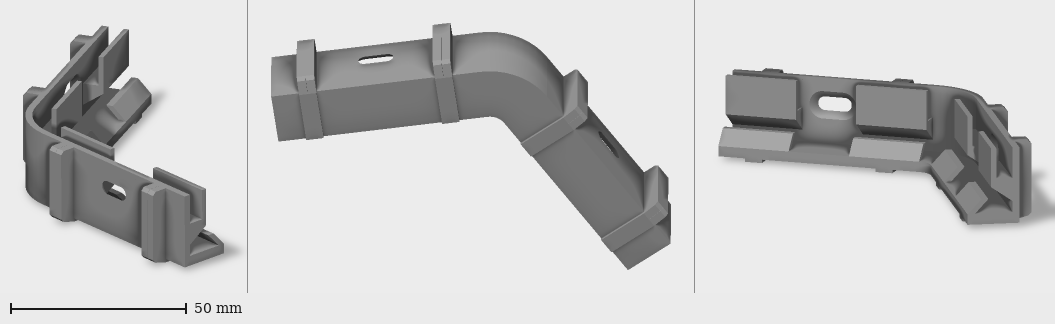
import cadquery as cq
import math


corner_angle = 118.0
turn_angle = 180.0 - corner_angle
clip_length = 21.0
plain_length = 18.0

width = 15.0
height = 22.0
wall = 2.0
floor = 3.0

inner_radius = 5.0
outer_radius = inner_radius + width

lip_run = 4.0
lip_top = 7.3
lip_thickness = 2.0

bracket_face = 8.2
blade_thickness = 1.5
bracket_root = 6.4
bracket_corner = 10.7
slot_floor = 13.0

peg_width = 5.0
peg_reach = 4.9
peg_chamfer = 1.0
rib_drop = 1.0
slit = 0.06

hole_length = 10.0
hole_height = 4.0
hole_level = 14.1
hole_flare = 45.0

lean_angle = 0.13
twist_angle = 0.2


def extrude_along_x(points, start, length):
    """Sweep an outline given as (Y, Z) points along X."""
    return cq.Workplane("YZ", origin=(start, 0, 0)).polyline(points).close().extrude(length)


def clip_outline():
    blade_back = bracket_face - blade_thickness
    return [
        (0, 0),
        (width, 0),
        (width, floor),
        (width - lip_run, lip_top),
        (width - lip_run - lip_thickness, lip_top),
        (width - lip_thickness, floor),
        (wall, floor),
        (wall, bracket_root),
        (bracket_face, bracket_corner),
        (bracket_face, height),
        (blade_back, height),
        (blade_back, slot_floor),
        (wall, slot_floor),
        (wall, height),
        (0, height),
    ]


def plain_outline():
    return [
        (0, 0),
        (width, 0),
        (width, floor),
        (wall, floor),
        (wall, height),
        (0, height),
    ]


def peg(middle):
    """Chamfered peg and underfloor rib, with the peg slit down its middle."""
    outline = [
        (0, height),
        (peg_chamfer - peg_reach, height),
        (-peg_reach, height - peg_chamfer),
        (-peg_reach, peg_chamfer),
        (peg_chamfer - peg_reach, 0),
        (0, -rib_drop),
        (width, -rib_drop),
        (width, 0),
        (0, 0),
    ]
    block = extrude_along_x(outline, middle - peg_width / 2, peg_width)
    cut = cq.Workplane("XY").box(slit, peg_reach, height + rib_drop, centered=(True, False, False))
    return block.cut(cut.translate((middle, -peg_reach, -rib_drop)))


def clip_segment(start):
    """Section with the leaning lip and the bracket, plus a peg at mid-length."""
    body = extrude_along_x(clip_outline(), start, clip_length)
    return body.union(peg(start + clip_length / 2))


def plain_segment(start):
    """Plain section with a screw slot that flares towards the inner face."""
    body = extrude_along_x(plain_outline(), start, plain_length)
    widening = 2 * wall * math.tan(math.radians(hole_flare))
    hole = (
        cq.Workplane("XZ", origin=(start + plain_length / 2, wall, hole_level))
        .slot2D(hole_length + widening, hole_height + widening)
        .extrude(wall, taper=hole_flare)
    )
    return body.cut(hole)


def bend_segment():
    """The plain section revolved about the vertical axis of the bend."""
    return (
        cq.Workplane("YZ")
        .polyline(plain_outline())
        .close()
        .revolve(turn_angle, (outer_radius, 1), (outer_radius, 0))
    )


def swing(body):
    """Turn a body that leads away along -X to the far side of the bend."""
    return body.rotate((0, outer_radius, 0), (0, outer_radius, 1), -turn_angle)


def seat(body):
    """Give a body the slight lean and twist that the whole rail sits at."""
    leaned = body.rotate((0, 0, 0), (1, 0, 0), lean_angle)
    return leaned.rotate((0, 0, 0), (0, 0, 1), -twist_angle)


arm_layout = [
    (clip_segment, 0, clip_length),
    (plain_segment, clip_length, plain_length),
    (clip_segment, clip_length + plain_length, clip_length),
]

bodies = [bend_segment().val()]
for build, offset, length in arm_layout:
    bodies.append(build(offset).val())
    bodies.append(swing(build(-offset - length)).val())

result = cq.Compound.makeCompound([seat(body) for body in bodies])